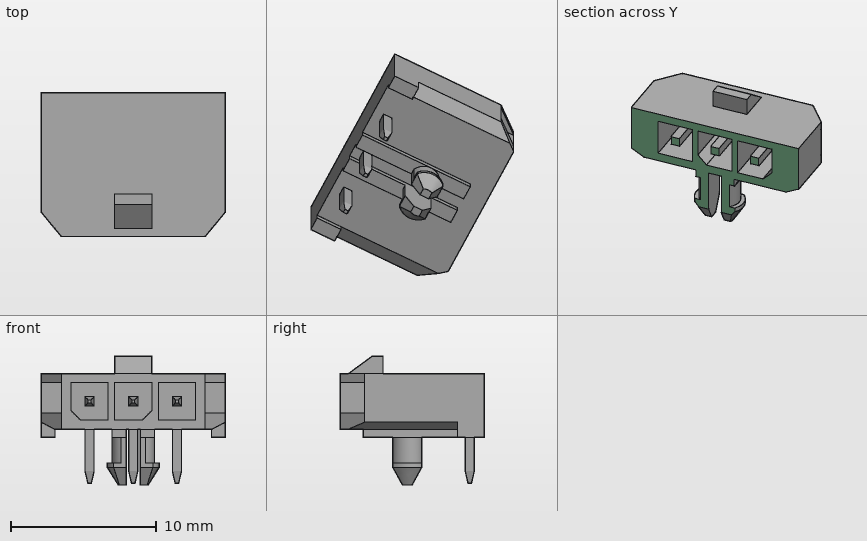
import cadquery as cq


WIDTH = 12.65
DEPTH = 9.9
HOUSING_TOP = 4.37
UNDERSIDE = 0.54
CORNER_X = 1.39
CORNER_Y = 1.68
POCKET_BOTTOM = 1.67

FOOT_WIDTH = 0.96
FOOT_LENGTH = 1.85
BEVEL_TOP = 1.04

LATCH_TOP = 5.58
LATCH_TOE_Y = 0.55
LATCH_CREST_Y = 2.2
LATCH_BACK_Y = 2.95

PITCH = 3.0
CONTACT_POSITIONS = (-PITCH, 0, PITCH)
KEYED_SIDES = (-1, 1, 0)
CAVITY = 2.56
CAVITY_DEPTH = 7.5
CAVITY_Z = 2.47
KEY_CHAMFER = 0.65
PIN = 0.64
PIN_TAPER = 0.83
MATING_TIP_Y = 2.5
MATING_TIP_WIDTH = 0.2
TAIL_Y = 8.9
TAIL_BOTTOM = -3.16
TAIL_TIP_WIDTH = 0.25

PEG_Y = 4.61
PEG_BOTTOM = -3.29
BARB_TOP = -1.75
BARB_CONE_TOP = -2.06
PRONG_HALF_THICKNESS = 1.0
PRONG_INNER_X = 0.47
STEM_SHOULDER_X = 0.83
STEM_OUTER_X = 1.47
BARB_SHOULDER_X = 1.35
BARB_OUTER_X = 1.79
TIP_HALF_THICKNESS = 0.33
TIP_SHOULDER_X = 0.95
TIP_OUTER_X = 1.03
RIB_FRONT_Y = 1.58

HALF_WIDTH = WIDTH / 2
FOOT_INNER_X = HALF_WIDTH - FOOT_WIDTH
FOOT_FRONT_Y = DEPTH - FOOT_LENGTH
CORNER_INNER_X = HALF_WIDTH - CORNER_X
CAVITY_TOP = CAVITY_Z + CAVITY / 2
LATCH_WIDTH = CAVITY


def block(x0, x1, y0, y1, z0, z1):
    """Axis-aligned box between two opposite corners."""
    return cq.Workplane("XY").box(x1 - x0, y1 - y0, z1 - z0, centered=False).translate((x0, y0, z0))


def both_sides(solid):
    """A solid together with its mirror image across the X = 0 plane."""
    return solid.union(solid.mirror("YZ"))


def housing_shell():
    """Block with cut front corners, bevelled lower edges and two rear feet."""
    outline = [
        (-HALF_WIDTH, DEPTH),
        (-HALF_WIDTH, CORNER_Y),
        (-CORNER_INNER_X, 0),
        (CORNER_INNER_X, 0),
        (HALF_WIDTH, CORNER_Y),
        (HALF_WIDTH, DEPTH),
    ]
    shell = cq.Workplane("XY").workplane(offset=UNDERSIDE).polyline(outline).close()
    shell = shell.extrude(HOUSING_TOP - UNDERSIDE)

    bevel_corners = [(FOOT_INNER_X, UNDERSIDE), (HALF_WIDTH, UNDERSIDE), (HALF_WIDTH, BEVEL_TOP)]
    bevel = cq.Workplane("XZ").polyline(bevel_corners).close().extrude(-FOOT_FRONT_Y)
    foot = block(FOOT_INNER_X, HALF_WIDTH, FOOT_FRONT_Y, DEPTH, 0, UNDERSIDE)
    pocket = block(CORNER_INNER_X, HALF_WIDTH, 0, CORNER_Y, POCKET_BOTTOM, CAVITY_TOP)
    return shell.cut(both_sides(bevel)).union(both_sides(foot)).cut(both_sides(pocket))


def cavity(x, keyed_side):
    """Square contact cavity; keyed_side -1 or 1 fills its lower left or right corner, 0 none."""
    half = CAVITY / 2
    bottom = CAVITY_Z - half
    hole = block(x - half, x + half, 0, CAVITY_DEPTH, bottom, CAVITY_TOP)
    if keyed_side:
        wall = x + keyed_side * half
        key_corners = [
            (wall, bottom),
            (wall - keyed_side * KEY_CHAMFER, bottom),
            (wall, bottom + KEY_CHAMFER),
        ]
        key = cq.Workplane("XZ").polyline(key_corners).close().extrude(-CAVITY_DEPTH)
        hole = hole.cut(key)
    return hole


def latch():
    """Ramp that rises from the front towards a square back."""
    profile = [
        (LATCH_TOE_Y, HOUSING_TOP),
        (LATCH_CREST_Y, LATCH_TOP),
        (LATCH_BACK_Y, LATCH_TOP),
        (LATCH_BACK_Y, HOUSING_TOP),
    ]
    return cq.Workplane("YZ").polyline(profile).close().extrude(LATCH_WIDTH / 2, both=True)


def tapered_pin(length, tip_width):
    """Square pin rising from the origin along Z, with a blunt pyramid point."""
    shaft_length = length - PIN_TAPER
    shaft = cq.Workplane("XY").rect(PIN, PIN).extrude(shaft_length)
    point = cq.Workplane("XY").workplane(offset=shaft_length).rect(PIN, PIN)
    point = point.workplane(offset=PIN_TAPER).rect(tip_width, tip_width).loft(ruled=True)
    return shaft.union(point)


def contact(x):
    """Mating pin towards the front and solder tail downwards, meeting inside the housing."""
    mating = tapered_pin(TAIL_Y - MATING_TIP_Y, MATING_TIP_WIDTH)
    mating = mating.rotate((0, 0, 0), (1, 0, 0), 90).translate((x, TAIL_Y, CAVITY_Z))
    tail = tapered_pin(CAVITY_Z - TAIL_BOTTOM, TAIL_TIP_WIDTH)
    tail = tail.rotate((0, 0, 0), (1, 0, 0), 180).translate((x, TAIL_Y, CAVITY_Z))
    return mating.union(tail)


def prong_section(plane, half_thickness, shoulder_x, outer_x):
    """Prong cross-section: flat inner face, flat cheeks and a rounded outer side."""
    return (
        plane.moveTo(PRONG_INNER_X, -half_thickness)
        .lineTo(shoulder_x, -half_thickness)
        .threePointArc((outer_x, 0), (shoulder_x, half_thickness))
        .lineTo(PRONG_INNER_X, half_thickness)
        .close()
    )


def prong():
    """Right-hand half of the split peg, with a barb and a tapered end."""
    board = cq.Workplane("XY", origin=(0, PEG_Y, 0))
    stem = prong_section(board, PRONG_HALF_THICKNESS, STEM_SHOULDER_X, STEM_OUTER_X).extrude(BARB_CONE_TOP)

    barb_base = board.workplane(offset=BARB_CONE_TOP)
    barb_size = (PRONG_HALF_THICKNESS, BARB_SHOULDER_X, BARB_OUTER_X)
    barb = prong_section(barb_base, *barb_size).extrude(BARB_TOP - BARB_CONE_TOP)

    cone = prong_section(barb_base, *barb_size).workplane(offset=PEG_BOTTOM - BARB_CONE_TOP)
    cone = prong_section(cone, TIP_HALF_THICKNESS, TIP_SHOULDER_X, TIP_OUTER_X).loft(ruled=True)
    return stem.union(barb).union(cone)


def standoff_rib():
    """Rib below the housing that rests on the board and carries one prong."""
    return block(PRONG_INNER_X, STEM_OUTER_X, RIB_FRONT_Y, DEPTH, 0, UNDERSIDE)


result = housing_shell().union(latch()).union(both_sides(standoff_rib().union(prong())))
for contact_x, side in zip(CONTACT_POSITIONS, KEYED_SIDES):
    result = result.cut(cavity(contact_x, side)).union(contact(contact_x))